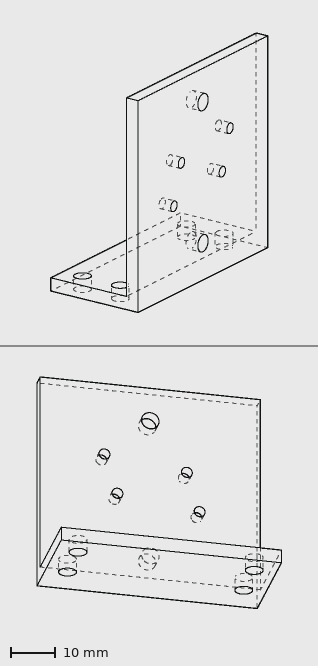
import cadquery as cq

depth = 24.0
width = 50.8
height = 50.8
thickness = 3.2

mount_diameter = 4.0
base_row_offsets = (5.2, 15.55)
base_hole_spacing = 40.65

wall_hole_heights = (8.85, 42.65)

small_diameter = 2.5
small_hole_points = [(10.55, 33.15), (-8.45, 30.7), (7.55, 23.65), (-11.4, 21.2)]


def base_drill(x, y):
    """Vertical cylinder passing through the base."""
    return cq.Workplane("XY").center(x, y).circle(mount_diameter / 2).extrude(thickness)


def wall_drill(y, z, diameter):
    """Cylinder along X passing through the wall."""
    plane = cq.Workplane("YZ", origin=(depth - thickness, 0, 0))
    return plane.center(y, z).circle(diameter / 2).extrude(thickness)


base = cq.Workplane("XY").box(depth, width, thickness, centered=(False, True, False))
wall = (
    cq.Workplane("XY", origin=(depth - thickness, 0, 0))
    .box(thickness, width, height, centered=(False, True, False))
)
result = base.union(wall)

for row_x in base_row_offsets:
    for side in (-1, 1):
        result = result.cut(base_drill(row_x, side * base_hole_spacing / 2))

for hole_z in wall_hole_heights:
    result = result.cut(wall_drill(0, hole_z, mount_diameter))

for hole_y, hole_z in small_hole_points:
    result = result.cut(wall_drill(hole_y, hole_z, small_diameter))